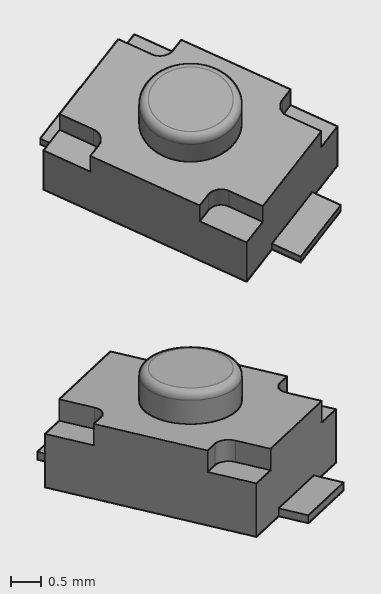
import cadquery as cq

body_length = 3.9
body_width = 2.93
body_height = 1.4

notch_length = 0.9
notch_width = 0.52
notch_depth = 0.4
notch_radius = 0.25

button_diameter = 1.7
total_height = 2.0
button_height = total_height - body_height
button_round = 0.15

terminal_span = 5.0
terminal_width = 1.3
terminal_thickness = 0.15


def block(length, width, height):
    """Block centred in X and Y, standing on Z = 0."""
    return cq.Workplane("XY").box(length, width, height, centered=(True, True, False))


def corner_notches():
    """Four rounded cutters, each centred on a body corner so one quarter cuts."""
    return (
        cq.Workplane("XY")
        .workplane(offset=body_height - notch_depth)
        .rect(body_length, body_width, forConstruction=True)
        .vertices()
        .rect(2 * notch_length, 2 * notch_width)
        .extrude(notch_depth)
        .edges("|Z")
        .fillet(notch_radius)
    )


def button():
    """Round button with a rounded top rim."""
    return (
        cq.Workplane("XY")
        .workplane(offset=body_height)
        .circle(button_diameter / 2)
        .extrude(button_height)
        .faces(">Z")
        .edges()
        .fillet(button_round)
    )


body = block(body_length, body_width, body_height).cut(corner_notches())
terminals = block(terminal_span, terminal_width, terminal_thickness)

result = body.union(terminals).union(button())